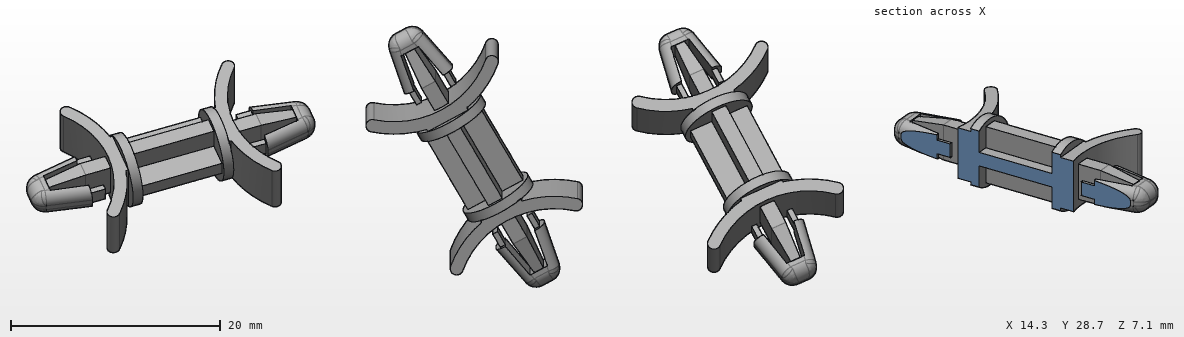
import cadquery as cq
import math

HALF_LENGTH = 14.35

RIB_SPAN = 6.0
RIB_THICKNESS = 1.5

FLANGE_DIAMETER = 7.1
FLANGE_INNER_Y = 4.1
FLANGE_THICKNESS = 1.0
FLANGE_OUTER_Y = FLANGE_INNER_Y + FLANGE_THICKNESS

SADDLE_WIDTH_Z = 5.45
SADDLE_HALF_SPAN = 7.15
SADDLE_INNER_RADIUS = 9.25
SADDLE_THICKNESS = 1.25
SADDLE_APEX_Y = 6.35
SADDLE_MID_Y = SADDLE_APEX_Y - SADDLE_THICKNESS / 2
NECK_WIDTH = 4.4

POST_WIDTH_X = RIB_THICKNESS
POST_WIDTH_Z = 3.75
POST_TOP_WIDTH_X = 1.0
POST_TOP_WIDTH_Z = 2.5

BARB_Y = 8.9
BARB_HALF_WIDTH = 2.65
NOSE_HALF_WIDTH = 1.6
HEAD_THICKNESS_Z = 2.68
HEAD_EDGE_RADIUS = 1.05
NOSE_RADIUS = 1.3
SLOT_TOP_Y = 12.55
SLOT_BASE_HALF_WIDTH = 1.6
SLOT_TOP_HALF_WIDTH = 0.95

TAB_END_Y = 7.4
TAB_INNER_X = SLOT_BASE_HALF_WIDTH
TAB_THICKNESS = 0.55
TAB_WIDTH_Z = 1.5


def centered_box(size_x, size_z, start_y, end_y):
    """Box centred on the Y axis, reaching from start_y to end_y."""
    mid_y = (start_y + end_y) / 2
    return cq.Workplane("XY").box(size_x, end_y - start_y, size_z).translate((0, mid_y, 0))


def make_body():
    upright = centered_box(RIB_THICKNESS, RIB_SPAN, -FLANGE_INNER_Y, FLANGE_INNER_Y)
    flat = centered_box(RIB_SPAN, RIB_THICKNESS, -FLANGE_INNER_Y, FLANGE_INNER_Y)
    return upright.union(flat)


def make_flange():
    disc = cq.Workplane("XZ").circle(FLANGE_DIAMETER / 2).extrude(-FLANGE_THICKNESS)
    return disc.translate((0, FLANGE_INNER_Y, 0))


def make_saddle():
    """Constant-thickness arc with round tips, plus the short neck to the flange."""
    center_y = SADDLE_APEX_Y + SADDLE_INNER_RADIUS
    outer_radius = SADDLE_INNER_RADIUS + SADDLE_THICKNESS
    tip_radius = SADDLE_THICKNESS / 2
    middle_radius = SADDLE_INNER_RADIUS + tip_radius
    half_angle = math.asin((SADDLE_HALF_SPAN - tip_radius) / middle_radius)

    def arc_point(radius, angle):
        return (radius * math.sin(angle), center_y - radius * math.cos(angle))

    def tip_point(side):
        x, y = arc_point(middle_radius, half_angle)
        return (side * (x + tip_radius * math.cos(half_angle)), y + tip_radius * math.sin(half_angle))

    arc = (
        cq.Workplane("XY")
        .moveTo(*arc_point(SADDLE_INNER_RADIUS, -half_angle))
        .threePointArc(arc_point(SADDLE_INNER_RADIUS, 0), arc_point(SADDLE_INNER_RADIUS, half_angle))
        .threePointArc(tip_point(1), arc_point(outer_radius, half_angle))
        .threePointArc(arc_point(outer_radius, 0), arc_point(outer_radius, -half_angle))
        .threePointArc(tip_point(-1), arc_point(SADDLE_INNER_RADIUS, -half_angle))
        .close()
        .extrude(SADDLE_WIDTH_Z / 2, both=True)
    )
    neck = centered_box(NECK_WIDTH, SADDLE_WIDTH_Z, FLANGE_OUTER_Y, SADDLE_MID_Y)
    return arc.union(neck)


def make_post():
    """Straight shank up to the barbs, then a taper into the head."""
    shank = centered_box(POST_WIDTH_X, POST_WIDTH_Z, SADDLE_MID_Y, BARB_Y)
    taper = (
        cq.Workplane("XZ", origin=(0, BARB_Y, 0))
        .rect(POST_WIDTH_X, POST_WIDTH_Z)
        .workplane(offset=BARB_Y - SLOT_TOP_Y)
        .rect(POST_TOP_WIDTH_X, POST_TOP_WIDTH_Z)
        .loft(ruled=True)
    )
    return shank.union(taper)


def make_trapezoid(base_half_width, top_half_width, base_y, top_y):
    """Symmetric tapered slab as thick as the snap head."""
    return (
        cq.Workplane("XY")
        .moveTo(-base_half_width, base_y)
        .lineTo(base_half_width, base_y)
        .lineTo(top_half_width, top_y)
        .lineTo(-top_half_width, top_y)
        .close()
        .extrude(HEAD_THICKNESS_Z / 2, both=True)
    )


def make_head():
    """Tapered head with a rounded nose, slotted into two legs."""
    head = make_trapezoid(BARB_HALF_WIDTH, NOSE_HALF_WIDTH, BARB_Y, HALF_LENGTH)
    head = head.faces(">Y").edges().fillet(NOSE_RADIUS)
    below_nose = cq.selectors.BoxSelector(
        (-BARB_HALF_WIDTH, BARB_Y, -HEAD_THICKNESS_Z),
        (BARB_HALF_WIDTH, HALF_LENGTH - NOSE_RADIUS, HEAD_THICKNESS_Z),
    )
    long_edges = head.edges(below_nose).edges("not #Y")
    head = long_edges.fillet(HEAD_EDGE_RADIUS)
    slot = make_trapezoid(SLOT_BASE_HALF_WIDTH, SLOT_TOP_HALF_WIDTH, BARB_Y, SLOT_TOP_Y)
    return head.cut(slot)


def make_tab(side):
    tab = cq.Workplane("XY").box(TAB_THICKNESS, BARB_Y - TAB_END_Y, TAB_WIDTH_Z)
    tab_x = side * (TAB_INNER_X + TAB_THICKNESS / 2)
    return tab.translate((tab_x, (BARB_Y + TAB_END_Y) / 2, 0))


def make_end():
    """Everything on the +Y end of the body."""
    end = make_flange().union(make_saddle()).union(make_post()).union(make_head())
    for side in (-1, 1):
        end = end.union(make_tab(side))
    return end


end = make_end()
result = make_body().union(end).union(end.mirror("XZ"))